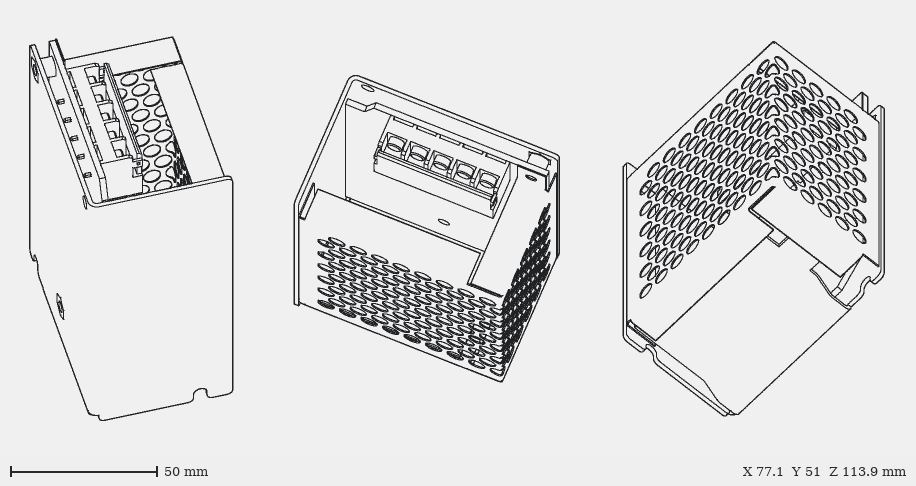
import cadquery as cq
import math

OUTER_X = 77.1
OUTER_Y = 51.0
OUTER_Z = 113.9

CHASSIS_SHEET = 1.6
BEND_OUTSIDE = 3.1
BEND_INSIDE = BEND_OUTSIDE - CHASSIS_SHEET
CHASSIS_TOP = 113.2
PLATE_BOTTOM = 3.3
WALL_BACK = 50.6
WALL_INSIDE_X = OUTER_X - CHASSIS_SHEET
CORNER_RADIUS = 2.0
NOTCH_WIDTH = 4.8
NOTCH_DEPTH = 5.9
PLATE_NOTCH_X = 7.9
WALL_NOTCH_Y = 39.1
PLATE_HOLE_X = 70.3
PLATE_HOLE_Z = 108.7
PLATE_HOLE_DIAMETER = 4.6
TONGUE_LEFT = 16.9
TONGUE_RIGHT = 74.0
TONGUE_RAMP_Y = 9.7
RAMP_ANGLE = math.radians(45)
TONGUE_BACK = 48.2
WING_LEFT = 1.7
WING_FRONT = 19.0
WING_BACK = 33.3

COVER_SHEET = 0.5
COVER_BEND_OUTSIDE = 1.3
COVER_BOTTOM = 5.9
COVER_TOP = 101.4
COVER_FRONT = 2.4
SIDE_FLANGE_X = 11.7
SIDE_FLANGE_FRONT = 9.7
BACK_FLANGE_LEFT = 12.9
BACK_FLANGE_RIGHT = 73.0
BACK_FLANGE_FRONT = 39.3
LIP_FRONT = 37.6
VENT_DIAMETER = 6.0
VENT_PITCH = 8.0
VENT_ROWS = 12
VENT_FIRST_Z = 16.5
VENT_LAST_Z = 89.9
VENT_ROW_PITCH = (VENT_LAST_Z - VENT_FIRST_Z) / (VENT_ROWS - 1)
VENT_FIRST_Y = 11.4
VENT_FIRST_X = 1.4
VENTS_PER_LONG_BACK_ROW = 9

BOARD_FRONT = 6.6
BOARD_BACK = 8.8
BOARD_LEFT = 1.0
BOARD_BOTTOM = 3.9
BOARD_TOP = CHASSIS_TOP
TOP_CUT_START_X = 65.0
TOP_CUT_END_X = 68.5
TOP_CUT_DEPTH = 7.9
BOTTOM_CUT = 13.2

STANDOFF_PLACES = [(6.6, 106.5), (39.1, 18.6)]
STANDOFF_DIAMETER = 7.0
STANDOFF_BORE = 4.0
HEX_ACROSS_FLATS = 8.0

POLES = 5
POLE_PITCH = 8.5
POCKET_WIDTH = 7.2
BARRIER = POLE_PITCH - POCKET_WIDTH
BLOCK_CENTER_X = 36.7
BLOCK_WIDTH = POLES * POLE_PITCH + BARRIER
BLOCK_BOTTOM = 93.4
BLOCK_TOP = CHASSIS_TOP
BLOCK_BACK = 23.7
POCKET_FLOOR_Y = 14.9
POCKET_FLOOR_Z = 101.4
LID_BOTTOM = 102.5
BARRIER_BACK = 20.3
LID_FRONT = 22.0
LID_INSET = 1.0
LUG_BOTTOM = 107.3
LUG_TOP = 110.6
LUG_HOLE = 0.9
LUG_HOLE_Y = 22.3
BARRIER_BEVEL_Y = 1.3
LID_BEVEL_Y = 0.9
BEVEL_Z = 0.8
FOOT_HEIGHT = 1.1
SCREW_DIAMETER = 5.4
SCREW_TOP_Y = 18.0
SCREW_BEVEL_X = 0.3
SCREW_BEVEL_Y = 0.5
SCREW_Z = 108.5
PIN_WIDTH = 1.0
PIN_Z = 102.8
PIN_END_Y = 4.0
PIN_TAPER = 0.8
PIN_TIP_WIDTH = 0.2


def box(x_range, y_range, z_range):
    """A block given by its limits along each axis."""
    return (
        cq.Workplane("XY")
        .box(
            x_range[1] - x_range[0],
            y_range[1] - y_range[0],
            z_range[1] - z_range[0],
            centered=False,
        )
        .translate((x_range[0], y_range[0], z_range[0]))
    )


def rod_along_y(x, z, diameter, start_y, end_y):
    return (
        cq.Workplane("XZ", origin=(x, start_y, z))
        .circle(diameter / 2)
        .extrude(start_y - end_y)
    )


def rod_along_x(y, z, diameter, start_x, end_x):
    return (
        cq.Workplane("YZ", origin=(start_x, 0, 0))
        .center(y, z)
        .circle(diameter / 2)
        .extrude(end_x - start_x)
    )


def notched_outline(plane, start, end, bottom, notch_center, rounded_corners):
    """Sheet outline with an arched notch in its bottom edge; the notch mouth is flared."""
    half = NOTCH_WIDTH / 2
    flare = CORNER_RADIUS
    arch_z = bottom + NOTCH_DEPTH - half
    sheet = (
        plane.moveTo(start, bottom)
        .lineTo(notch_center - half - flare, bottom)
        .radiusArc((notch_center - half, bottom + flare), -flare)
        .lineTo(notch_center - half, arch_z)
        .threePointArc((notch_center, arch_z + half), (notch_center + half, arch_z))
        .lineTo(notch_center + half, bottom + flare)
        .radiusArc((notch_center + half + flare, bottom), -flare)
        .lineTo(end, bottom)
        .lineTo(end, CHASSIS_TOP)
        .lineTo(start, CHASSIS_TOP)
        .close()
        .extrude(CHASSIS_SHEET)
    )
    return sheet.edges(rounded_corners).fillet(CORNER_RADIUS)


def chassis_plate():
    plane = cq.Workplane("XZ", origin=(0, CHASSIS_SHEET, 0))
    return notched_outline(plane, 0, OUTER_X - BEND_OUTSIDE, PLATE_BOTTOM, PLATE_NOTCH_X, "|Y and <X")


def chassis_wall():
    plane = cq.Workplane("YZ", origin=(WALL_INSIDE_X, 0, 0))
    return notched_outline(plane, BEND_OUTSIDE, WALL_BACK, 0, WALL_NOTCH_Y, "|X and (>Y or (<Y and <Z))")


def chassis_side_bend():
    """Quarter-round bend joining the front plate to the +X wall."""
    bend_x = OUTER_X - BEND_OUTSIDE
    return (
        cq.Workplane("XY", origin=(0, 0, PLATE_BOTTOM))
        .moveTo(bend_x, 0)
        .radiusArc((OUTER_X, BEND_OUTSIDE), -BEND_OUTSIDE)
        .lineTo(WALL_INSIDE_X, BEND_OUTSIDE)
        .radiusArc((bend_x, CHASSIS_SHEET), BEND_INSIDE)
        .close()
        .extrude(CHASSIS_TOP - PLATE_BOTTOM)
    )


def chassis_tongue():
    """Bottom tongue: bent back from the plate, ramped up at an angle, then level again."""
    t = CHASSIS_SHEET
    level_bottom = COVER_BOTTOM + COVER_SHEET
    level_top = level_bottom + t
    ramp_shift = t * math.tan(RAMP_ANGLE / 2)
    ramp_end_y = TONGUE_RAMP_Y + level_bottom / math.tan(RAMP_ANGLE)
    profile = [
        (0, PLATE_BOTTOM),
        (0, 0),
        (TONGUE_RAMP_Y, 0),
        (ramp_end_y, level_bottom),
        (TONGUE_BACK, level_bottom),
        (TONGUE_BACK, level_top),
        (ramp_end_y - ramp_shift, level_top),
        (TONGUE_RAMP_Y - ramp_shift, t),
        (t, t),
        (t, PLATE_BOTTOM),
    ]
    outside_bends = [profile[1], profile[2], profile[6]]
    inside_bends = [profile[8], profile[7], profile[3]]
    tongue = (
        cq.Workplane("YZ", origin=(TONGUE_LEFT, 0, 0))
        .polyline(profile)
        .close()
        .extrude(TONGUE_RIGHT - TONGUE_LEFT)
    )
    middle_x = (TONGUE_LEFT + TONGUE_RIGHT) / 2
    for bends, radius in ((outside_bends, BEND_OUTSIDE), (inside_bends, BEND_INSIDE)):
        for y, z in bends:
            nearest = cq.selectors.NearestToPointSelector((middle_x, y, z))
            tongue = tongue.edges("|X").edges(nearest).fillet(radius)
    wing = box((WING_LEFT, TONGUE_LEFT), (WING_FRONT, WING_BACK), (level_bottom, level_top))
    return tongue.union(wing)


def make_chassis():
    chassis = chassis_plate().union(chassis_side_bend()).union(chassis_wall()).union(chassis_tongue())
    screw_hole = rod_along_y(PLATE_HOLE_X, PLATE_HOLE_Z, PLATE_HOLE_DIAMETER, 0, CHASSIS_SHEET)
    chassis = chassis.cut(screw_hole)
    for x, z in STANDOFF_PLACES:
        chassis = chassis.cut(standoff_head(x, z))
    return chassis


def cover_upright(inset, z_range):
    """Block bounded by the -X, back and +X faces of the cover, moved inward by inset."""
    upright = box((inset, WALL_INSIDE_X - inset), (COVER_FRONT, OUTER_Y - inset), z_range)
    return upright.edges("|Z and >Y").fillet(COVER_BEND_OUTSIDE - inset)


def cover_walls():
    z_range = (COVER_BOTTOM + COVER_BEND_OUTSIDE, COVER_TOP - COVER_BEND_OUTSIDE)
    walls = cover_upright(0, z_range).cut(cover_upright(COVER_SHEET, z_range))
    lip_x = WALL_INSIDE_X - COVER_SHEET
    return walls.cut(box((lip_x, OUTER_X), (0, LIP_FRONT), z_range))


def top_flanges():
    """Flanges bent inward from the -X wall and the back wall, separated by a slit."""
    t = COVER_SHEET
    inside_radius = COVER_BEND_OUTSIDE - t
    side_y = (SIDE_FLANGE_FRONT, OUTER_Y - t)
    side = box((0, SIDE_FLANGE_X), side_y, (COVER_BOTTOM, COVER_TOP))
    side = side.edges("<X and >Z").fillet(COVER_BEND_OUTSIDE)
    side_inside = box((t, SIDE_FLANGE_X), side_y, (COVER_BOTTOM, COVER_TOP - t))
    side = side.cut(side_inside.edges("<X and >Z").fillet(inside_radius))
    side = side.intersect(cover_upright(0, (COVER_BOTTOM, COVER_TOP)))
    back_x = (BACK_FLANGE_LEFT, BACK_FLANGE_RIGHT)
    back = box(back_x, (BACK_FLANGE_FRONT, OUTER_Y), (COVER_BOTTOM, COVER_TOP))
    back = back.edges(">Y and >Z").fillet(COVER_BEND_OUTSIDE)
    back_inside = box(back_x, (BACK_FLANGE_FRONT, OUTER_Y - t), (COVER_BOTTOM, COVER_TOP - t))
    back = back.cut(back_inside.edges(">Y and >Z").fillet(inside_radius))
    above_walls = box((0, OUTER_X), (0, OUTER_Y), (COVER_TOP - COVER_BEND_OUTSIDE, COVER_TOP))
    return side.union(back).intersect(above_walls)


def cover_tab():
    """Tab bent up from the top side flange against the board, drilled for the standoff screw."""
    t = COVER_SHEET
    floor_z = COVER_TOP - t
    bend_radius = SIDE_FLANGE_FRONT - BOARD_BACK
    end_y = SIDE_FLANGE_FRONT + bend_radius
    x_range = (COVER_BEND_OUTSIDE, SIDE_FLANGE_X)
    outer = box(x_range, (BOARD_BACK, end_y), (floor_z, OUTER_Z))
    outer = outer.edges("<Y and <Z").fillet(bend_radius)
    inside = box(x_range, (BOARD_BACK + t, end_y), (COVER_TOP, OUTER_Z))
    inside = inside.edges("<Y and <Z").fillet(bend_radius - t)
    screw_x, screw_z = STANDOFF_PLACES[0]
    hole = rod_along_y(screw_x, screw_z, STANDOFF_BORE, BOARD_BACK, BOARD_BACK + t)
    return outer.cut(inside).cut(hole)


def vent_rows():
    """Height and sideways shift of each staggered row of vents."""
    rows = range(VENT_ROWS)
    return [(VENT_FIRST_Z + row * VENT_ROW_PITCH, row % 2 * VENT_PITCH / 2) for row in rows]


def side_vents():
    """Vents through the -X wall; every other row reaches the back corner."""
    last_y = OUTER_Y + VENT_DIAMETER / 2
    vents = []
    for z, shift in vent_rows():
        count = math.floor((last_y - VENT_FIRST_Y - shift) / VENT_PITCH) + 1
        for column in range(count):
            y = VENT_FIRST_Y + shift + column * VENT_PITCH
            vents.append(rod_along_x(y, z, VENT_DIAMETER, 0, COVER_BEND_OUTSIDE).val())
    return cq.Workplane(cq.Compound.makeCompound(vents))


def back_vents():
    """Vents through the back wall, continuing the side rows around the corner."""
    vents = []
    for z, shift in vent_rows():
        count = VENTS_PER_LONG_BACK_ROW - (1 if shift else 0)
        for column in range(count):
            x = VENT_FIRST_X + shift + column * VENT_PITCH
            vents.append(rod_along_y(x, z, VENT_DIAMETER, OUTER_Y - COVER_BEND_OUTSIDE, OUTER_Y).val())
    return cq.Workplane(cq.Compound.makeCompound(vents))


def make_cover():
    middle = (0, 0, (COVER_BOTTOM + COVER_TOP) / 2)
    flanges = top_flanges()
    cover = cover_walls().union(flanges.mirror("XY", middle))
    cover = cover.union(flanges).union(cover_tab())
    return cover.cut(side_vents()).cut(back_vents())


def standoff_head(x, z):
    """Hexagon with a corner pointing up, as thick as the front plate."""
    across_corners = HEX_ACROSS_FLATS / math.cos(math.radians(30))
    return (
        cq.Workplane("XZ")
        .polygon(6, across_corners)
        .extrude(-CHASSIS_SHEET)
        .rotate((0, 0, 0), (0, 1, 0), 30)
        .translate((x, 0, z))
    )


def make_standoff(x, z):
    barrel = rod_along_y(x, z, STANDOFF_DIAMETER, CHASSIS_SHEET, BOARD_FRONT)
    bore = rod_along_y(x, z, STANDOFF_BORE, 0, BOARD_FRONT)
    return standoff_head(x, z).union(barrel).cut(bore)


def pole_centers():
    first = BLOCK_CENTER_X - (POLES - 1) * POLE_PITCH / 2
    return [first + pole * POLE_PITCH for pole in range(POLES)]


def make_board():
    outline = [
        (BOARD_LEFT, BOARD_BOTTOM + BOTTOM_CUT),
        (BOARD_LEFT + BOTTOM_CUT, BOARD_BOTTOM),
        (WALL_INSIDE_X, BOARD_BOTTOM),
        (WALL_INSIDE_X, BOARD_TOP - TOP_CUT_DEPTH),
        (TOP_CUT_END_X, BOARD_TOP - TOP_CUT_DEPTH),
        (TOP_CUT_START_X, BOARD_TOP),
        (BOARD_LEFT, BOARD_TOP),
    ]
    board = (
        cq.Workplane("XZ", origin=(0, BOARD_FRONT, 0))
        .polyline(outline)
        .close()
        .extrude(BOARD_FRONT - BOARD_BACK)
    )
    for x, z in STANDOFF_PLACES:
        board = board.cut(rod_along_y(x, z, STANDOFF_BORE, BOARD_FRONT, BOARD_BACK))
    for x in pole_centers():
        board = board.cut(terminal_pin(x))
    return board


def terminal_pin(x):
    """Square pin running down through the board to a tapered tip."""
    half = PIN_WIDTH / 2
    taper_y = PIN_END_Y + PIN_TAPER
    shank = box((x - half, x + half), (taper_y, POCKET_FLOOR_Y), (PIN_Z - half, PIN_Z + half))
    tip = (
        cq.Workplane("XZ", origin=(x, taper_y, PIN_Z))
        .rect(PIN_WIDTH, PIN_WIDTH)
        .workplane(offset=PIN_TAPER)
        .rect(PIN_TIP_WIDTH, PIN_TIP_WIDTH)
        .loft(combine=True)
    )
    return shank.union(tip)


def terminal_screw(x):
    """Round screw head standing in a pocket, its rim bevelled."""
    head = rod_along_y(x, SCREW_Z, SCREW_DIAMETER, POCKET_FLOOR_Y, SCREW_TOP_Y)
    return head.faces(">Y").edges().chamfer(SCREW_BEVEL_Y, SCREW_BEVEL_X)


def block_housing():
    left = BLOCK_CENTER_X - BLOCK_WIDTH / 2
    right = BLOCK_CENTER_X + BLOCK_WIDTH / 2
    inner = (left + LID_INSET, right - LID_INSET)
    base = box((left, right), (BOARD_BACK, BARRIER_BACK), (BLOCK_BOTTOM, BLOCK_TOP))
    bevel = (
        cq.Workplane("YZ", origin=(left, 0, 0))
        .polyline(
            [
                (BARRIER_BACK, BLOCK_TOP),
                (BARRIER_BACK - BARRIER_BEVEL_Y, BLOCK_TOP),
                (BARRIER_BACK, BLOCK_TOP - BEVEL_Z),
            ]
        )
        .close()
        .extrude(BLOCK_WIDTH)
    )
    rear = box((left, right), (BARRIER_BACK, BLOCK_BACK), (BLOCK_BOTTOM, LID_BOTTOM))
    lid = (
        cq.Workplane("YZ", origin=(inner[0], 0, 0))
        .polyline(
            [
                (LID_FRONT, LID_BOTTOM),
                (BLOCK_BACK, LID_BOTTOM),
                (BLOCK_BACK, BLOCK_TOP - BEVEL_Z),
                (BLOCK_BACK - LID_BEVEL_Y, BLOCK_TOP),
                (LID_FRONT, BLOCK_TOP),
            ]
        )
        .close()
        .extrude(inner[1] - inner[0])
    )
    housing = base.cut(bevel).union(rear).union(lid)
    lug_z = (LUG_BOTTOM + LUG_TOP) / 2
    half_hole = LUG_HOLE / 2
    hole_y = (LUG_HOLE_Y - half_hole, LUG_HOLE_Y + half_hole)
    hole_z = (lug_z - half_hole, lug_z + half_hole)
    for lug_x in ((left, inner[0]), (inner[1], right)):
        lug = box(lug_x, (BARRIER_BACK, BLOCK_BACK), (LUG_BOTTOM, LUG_TOP))
        housing = housing.union(lug).cut(box(lug_x, hole_y, hole_z))
    return housing


def make_terminal_block():
    block = block_housing()
    half = POCKET_WIDTH / 2
    for x in pole_centers():
        pocket = box((x - half, x + half), (POCKET_FLOOR_Y, BARRIER_BACK), (POCKET_FLOOR_Z, BLOCK_TOP))
        foot_y = (BOARD_BACK, BOARD_BACK + FOOT_HEIGHT)
        underside = box((x - half, x + half), foot_y, (BLOCK_BOTTOM, BLOCK_TOP))
        block = block.cut(pocket).cut(underside)
        block = block.union(terminal_screw(x)).union(terminal_pin(x))
    return block


chassis = make_chassis()
cover = make_cover()
board = make_board()
terminal_block = make_terminal_block()
standoffs = [make_standoff(x, z) for x, z in STANDOFF_PLACES]

result = cq.Compound.makeCompound(
    [
        chassis.val(),
        cover.val(),
        board.val(),
        terminal_block.val(),
        *[standoff.val() for standoff in standoffs],
    ]
)